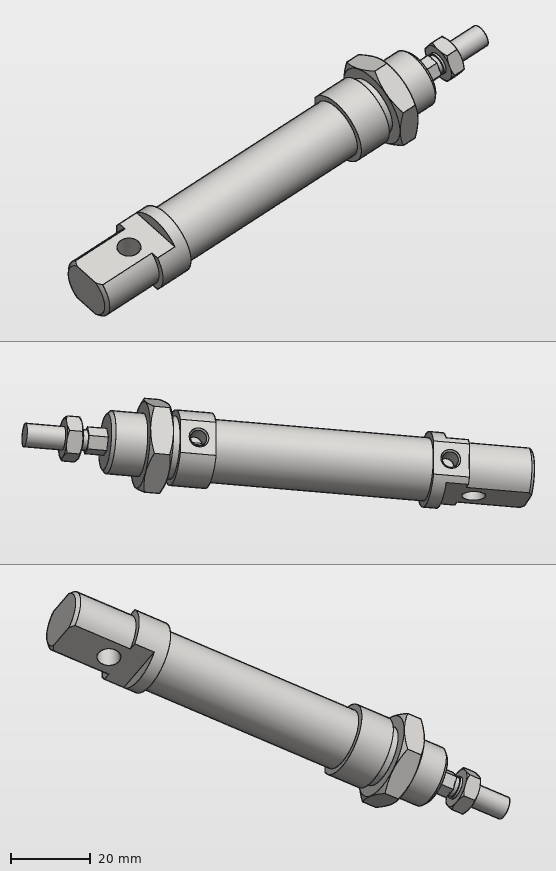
import cadquery as cq
import math


TUBE_DIA = 16.0
COLLAR_DIA = 19.1

NECK_LENGTH = 17.4
COLLAR_LENGTH = 9.2
REAR_COLLAR_FRONT_Y = -82.8
HOUSING_REAR_Y = -109.2
END_CHAMFER = 0.9

TAIL_THICKNESS = 12.1
TAIL_FLAT_START_Y = -86.3
PIVOT_HOLE_DIA = 6.0
PIVOT_HOLE_Y = -95.2

PORT_FACE_X = -8.5
PORT_DIA = 4.2
PORT_CHAMFER = 0.45
PORT_DEPTH = 5.3
PORT_YS = (-22.2, -87.2)

ROD_TIP_Y = 20.8
THREAD_DIA = 6.0
THREAD_END_Y = 6.2
UNDERCUT_DIA = 5.2
HEX_FRONT_Y = 5.0
ROD_FLATS = 6.0
ROD_REAR_Y = -NECK_LENGTH - COLLAR_LENGTH

ROD_NUT_FLATS = 10.0
ROD_NUT_REAR_Y = 6.9
ROD_NUT_THICKNESS = 4.0
ROD_NUT_CHAMFER_DIA = 10.1

BARREL_NUT_FLATS = 22.0
BARREL_NUT_REAR_Y = -15.1
BARREL_NUT_THICKNESS = 6.0
BARREL_NUT_CHAMFER_DIA = 21.8

NUT_CHAMFER_ANGLE = 30.0


def revolve_about_y(points):
    """Solid of revolution about Y from (radius, y) points on the -X side."""
    profile = [(-radius, y) for radius, y in points]
    return cq.Workplane("XY").polyline(profile).close().revolve(360, (0, 0, 0), (0, 1, 0))


def cylinder_on_y(diameter, rear_y, front_y):
    radius = diameter / 2
    return revolve_about_y([(0, rear_y), (radius, rear_y), (radius, front_y), (0, front_y)])


def hex_bar(flats, rear_y, front_y):
    """Hexagonal bar along Y with two of its corners on the X axis."""
    corner_dia = flats / math.cos(math.radians(30))
    return (
        cq.Workplane("XZ", origin=(0, front_y, 0))
        .polygon(6, corner_dia)
        .extrude(front_y - rear_y)
    )


def chamfered_nut(flats, bore_dia, chamfer_dia, rear_y, thickness):
    """Hexagon nut whose corners are turned to a cone on both faces."""
    front_y = rear_y + thickness
    corner_radius = flats / 2 / math.cos(math.radians(30))
    face_radius = chamfer_dia / 2
    drop = (corner_radius - face_radius) * math.tan(math.radians(NUT_CHAMFER_ANGLE))
    turned_blank = revolve_about_y([
        (0, rear_y),
        (face_radius, rear_y),
        (corner_radius, rear_y + drop),
        (corner_radius, front_y - drop),
        (face_radius, front_y),
        (0, front_y),
    ])
    nut = hex_bar(flats, rear_y, front_y).intersect(turned_blank)
    return nut.cut(cylinder_on_y(bore_dia, rear_y, front_y))


def make_collar(front_y):
    """Round collar with one flat on its -X side to carry an air port."""
    rear_y = front_y - COLLAR_LENGTH
    collar = cylinder_on_y(COLLAR_DIA, rear_y, front_y)
    flat_cut = (
        cq.Workplane("YZ", origin=(PORT_FACE_X, (front_y + rear_y) / 2, 0))
        .rect(COLLAR_LENGTH, COLLAR_DIA)
        .extrude(-COLLAR_DIA)
    )
    return collar.cut(flat_cut)


def make_port(y):
    """Flat-bottomed blind port with a 45 degree countersunk mouth."""
    face = cq.Workplane("YZ", origin=(PORT_FACE_X, y, 0))
    bore = face.circle(PORT_DIA / 2).extrude(PORT_DEPTH)
    mouth = face.circle(PORT_DIA / 2 + PORT_CHAMFER).extrude(PORT_CHAMFER, taper=45)
    return bore.union(mouth)


def make_housing():
    tube_radius = TUBE_DIA / 2
    end_radius = tube_radius - END_CHAMFER
    housing = revolve_about_y([
        (0, HOUSING_REAR_Y),
        (end_radius, HOUSING_REAR_Y),
        (tube_radius, HOUSING_REAR_Y + END_CHAMFER),
        (tube_radius, -END_CHAMFER),
        (end_radius, 0),
        (0, 0),
    ])
    for collar_front_y in (-NECK_LENGTH, REAR_COLLAR_FRONT_Y):
        housing = housing.union(make_collar(collar_front_y))

    flat_length = TAIL_FLAT_START_Y - HOUSING_REAR_Y
    flat_mid_y = (TAIL_FLAT_START_Y + HOUSING_REAR_Y) / 2
    for side in (1, -1):
        flat_cut = (
            cq.Workplane("XY", origin=(0, flat_mid_y, side * TAIL_THICKNESS / 2))
            .rect(COLLAR_DIA, flat_length)
            .extrude(side * COLLAR_DIA)
        )
        housing = housing.cut(flat_cut)

    pivot_hole = (
        cq.Workplane("XY", origin=(0, PIVOT_HOLE_Y, 0))
        .circle(PIVOT_HOLE_DIA / 2)
        .extrude(TAIL_THICKNESS, both=True)
    )
    housing = housing.cut(pivot_hole)

    for port_y in PORT_YS:
        housing = housing.cut(make_port(port_y))

    return housing.cut(hex_bar(ROD_FLATS, ROD_REAR_Y, 0))


def make_piston_rod():
    """Hexagonal shank, undercut and threaded end in one piece."""
    thread_radius = THREAD_DIA / 2
    undercut_radius = UNDERCUT_DIA / 2
    threaded_end = revolve_about_y([
        (0, HEX_FRONT_Y),
        (undercut_radius, HEX_FRONT_Y),
        (undercut_radius, THREAD_END_Y),
        (thread_radius, THREAD_END_Y),
        (thread_radius, ROD_TIP_Y),
        (0, ROD_TIP_Y),
    ])
    return hex_bar(ROD_FLATS, ROD_REAR_Y, HEX_FRONT_Y).union(threaded_end)


def make_rod_nut():
    return chamfered_nut(
        ROD_NUT_FLATS, THREAD_DIA, ROD_NUT_CHAMFER_DIA, ROD_NUT_REAR_Y, ROD_NUT_THICKNESS
    )


def make_barrel_nut():
    nut = chamfered_nut(
        BARREL_NUT_FLATS, TUBE_DIA, BARREL_NUT_CHAMFER_DIA, BARREL_NUT_REAR_Y, BARREL_NUT_THICKNESS
    )
    return nut.rotate((0, 0, 0), (0, 1, 0), 90)


housing = make_housing()
piston_rod = make_piston_rod()
rod_nut = make_rod_nut()
barrel_nut = make_barrel_nut()

result = cq.Compound.makeCompound([
    housing.val(),
    piston_rod.val(),
    rod_nut.val(),
    barrel_nut.val(),
])